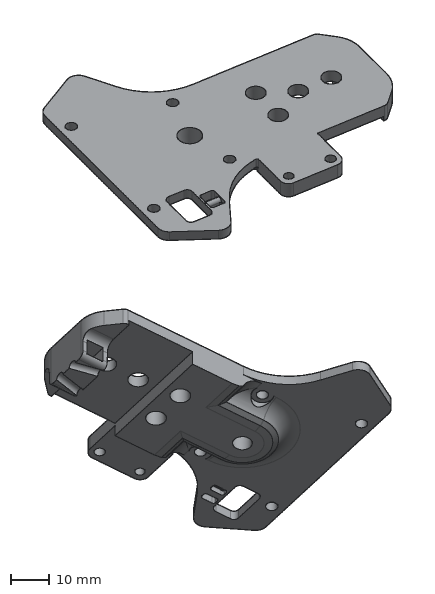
import cadquery as cq
import math

plate_thickness = 3.0
length = 84.7
height = 13.0

half_width = 37.2
front_half_width = 29.3
wing_angle = 30.0
wing_corner_radius = 3.5
neck_half_width = 17.3
neck_chamfer = 6.8
nose_radius = 9.3
shoulder_radius = 1.9
waist_radius = 20.3

tab_right = 31.0
tab_front = 37.4
tab_rear = 56.2
tab_thickness = 4.5
tab_corner_radius = 2.5
tab_root_radius = 0.5

neck_thickness = 3.6
nose_front = 76.8
nose_thickness = 5.1

boss_bottom = 8.05
boss_y = 27.5
boss_neck_y = 49.1
flare_reach = 15.15
flare_radius = 6.1
flare_end_depth = 6.9
bevel_reach = 8.0
bevel_depth = 7.7
foot_reach = 5.7

hanger_half_width = 7.5
hanger_root_radius = 2.8
hanger_corner_radius = 1.9
channel_front = 78.2
channel_rear = 83.3
channel_top = 6.95
channel_bottom = 11.7
channel_crown = 9.4
groove_diameter = 2.7
groove_x_front = 4.65
groove_x_rear = 2.8

large_hole_diameter = 5.4
large_hole_points = [(0, 71.6), (0, 61.3), (-5.4, 51.6), (5.4, 51.6)]
screw_hole_diameter = 3.2
rear_screw_points = [(-13.8, 31.1), (13.8, 31.1)]
front_screw_points = [(-20.0, 3.5), (20.0, 3.5)]
screw_head_diameter = 6.0
tab_hole_x = 27.9
tab_front_hole = (40.4, 2.7)
tab_rear_hole = (53.4, 3.0)
bore_top_diameter = 6.7
bore_bottom_diameter = 5.2

window_size = (12.2, 7.8)
window_center = (24.1, 11.8)
window_radius = 1.5
slot_size = (6.1, 4.4)
slot_center = (25.1, 18.5)
slot_radius = 0.7
slot_bar_width = 1.9
slot_bar_top = 0.4


def box(x_min, x_max, y_min, y_max, z_min, z_max):
    size = (x_max - x_min, y_max - y_min, z_max - z_min)
    return cq.Workplane("XY").box(*size, centered=False).translate((x_min, y_min, z_min))


def round_corner(body, x, y, radius):
    """Round the full-height vertical edge that stands at (x, y)."""
    reach = 0.1
    selector = cq.selectors.BoxSelector((x - reach, y - reach, -2 * height), (x + reach, y + reach, height))
    return body.edges("|Z").edges(selector).fillet(radius)


def outline_slab(depth):
    """The symmetric plate outline, without the side tab, extruded down from z = 0."""
    slope = math.radians(wing_angle)
    tip_setback = wing_corner_radius * (math.cos(slope) + math.sin(slope) - 1)
    tip_x = half_width + tip_setback
    tip_y = (tip_x - front_half_width) / math.tan(slope)
    waist_y = tip_y + (tip_x - neck_half_width) * math.tan(slope)
    shoulder_y = length - neck_chamfer
    corners = [
        (front_half_width, 0, wing_corner_radius),
        (tip_x, tip_y, wing_corner_radius),
        (neck_half_width, waist_y, waist_radius),
        (neck_half_width, shoulder_y, shoulder_radius),
        (neck_half_width - neck_chamfer, length, nose_radius),
    ]
    right_side = [(x, y) for x, y, _ in corners]
    left_side = [(-x, y) for x, y in reversed(right_side)]
    slab = cq.Workplane("XY").polyline(right_side + left_side).close().extrude(-depth)
    for x, y, radius in corners:
        for side in (-1, 1):
            slab = round_corner(slab, side * x, y, radius)
    return slab


def side_tab(depth):
    tab = box(neck_half_width, tab_right, tab_front, tab_rear, -depth, 0)
    for y in (tab_front, tab_rear):
        tab = round_corner(tab, tab_right, y, tab_corner_radius)
    return tab


def plate_with_tab():
    """The flat plate, with a small fillet where the tab's front edge meets the waist arc."""
    plate = outline_slab(plate_thickness).union(side_tab(plate_thickness))
    root = cq.selectors.NearestToPointSelector((neck_half_width, tab_front, -plate_thickness / 2))
    return plate.edges("|Z").edges(root).fillet(tab_root_radius)


def flare_profile(plane, side):
    """Half section of the boss: concave flare, then two shallow bevels down to the flat foot."""
    sweep = math.acos(1 - (flare_end_depth - plate_thickness) / flare_radius)

    def flare_point(angle):
        reach = flare_reach - flare_radius * math.sin(angle)
        depth = plate_thickness + flare_radius * (1 - math.cos(angle))
        return (side * reach, -depth)

    return (
        cq.Workplane(plane)
        .moveTo(0, 0)
        .lineTo(side * flare_reach, 0)
        .lineTo(side * flare_reach, -plate_thickness)
        .threePointArc(flare_point(sweep / 2), flare_point(sweep))
        .lineTo(side * bevel_reach, -bevel_depth)
        .lineTo(side * foot_reach, -boss_bottom)
        .lineTo(0, -boss_bottom)
        .close()
    )


def flared_boss():
    round_end = flare_profile("XZ", 1).revolve(360, (0, 0), (0, 1)).translate((0, boss_y, 0))
    boss = round_end
    for side in (-1, 1):
        straight = flare_profile("XZ", side).extrude(boss_y - boss_neck_y)
        boss = boss.union(straight.translate((0, boss_y, 0)))
    wide_part = flare_profile("YZ", -1).extrude(neck_half_width, both=True).translate((0, boss_neck_y, 0))
    rear_part = box(-neck_half_width, neck_half_width, boss_neck_y, tab_rear, -boss_bottom, 0)
    boss = boss.union(wide_part).union(rear_part)
    for x, y in rear_screw_points:
        head_room = cq.Workplane("XY", origin=(x, y, -boss_bottom)).circle(screw_head_diameter / 2)
        boss = boss.cut(head_room.extrude(boss_bottom - plate_thickness))
    return boss


def strap_channel():
    """Passage along X through the hanger, with a floor that arches up to a crown in the middle."""
    rise = channel_bottom - channel_crown
    arch_radius = (hanger_half_width ** 2 + rise ** 2) / (2 * rise)
    width = channel_rear - channel_front
    passage = box(-neck_half_width, neck_half_width, channel_front, channel_rear, -channel_bottom, -channel_top)
    arch = (
        cq.Workplane("XZ", origin=(0, channel_rear, -channel_crown - arch_radius))
        .circle(arch_radius)
        .extrude(width)
    )
    return passage.cut(arch)


def cord_groove(side):
    """Half-round groove in the hanger's bottom face; the two grooves converge toward the rear."""
    run = cq.Vector(side * (groove_x_rear - groove_x_front), length - nose_front, 0)
    start = cq.Vector(side * groove_x_front, nose_front, -height)
    overrun = 0.2
    return cq.Workplane(
        cq.Solid.makeCylinder(groove_diameter / 2, run.Length * (1 + 2 * overrun), start - run * overrun, run)
    )


def nose_and_hanger():
    root_x = hanger_half_width + hanger_root_radius
    root_z = -nose_thickness - hanger_root_radius
    bend = 1 - math.sqrt(0.5)
    bend_x = hanger_half_width + hanger_root_radius * bend
    bend_z = -nose_thickness - hanger_root_radius * bend
    profile = (
        cq.Workplane("XZ", origin=(0, length, 0))
        .moveTo(-neck_half_width, 0)
        .lineTo(neck_half_width, 0)
        .lineTo(neck_half_width, -nose_thickness)
        .lineTo(root_x, -nose_thickness)
        .threePointArc((bend_x, bend_z), (hanger_half_width, root_z))
        .lineTo(hanger_half_width, -height)
        .lineTo(-hanger_half_width, -height)
        .lineTo(-hanger_half_width, root_z)
        .threePointArc((-bend_x, bend_z), (-root_x, -nose_thickness))
        .lineTo(-neck_half_width, -nose_thickness)
        .close()
    )
    body = profile.extrude(length - nose_front)
    body = body.faces("<Z").edges("|Y").fillet(hanger_corner_radius)
    body = body.intersect(outline_slab(height)).cut(strap_channel())
    for side in (-1, 1):
        body = body.cut(cord_groove(side))
    return body


def through_holes(points, diameter):
    return cq.Workplane("XY").pushPoints(points).circle(diameter / 2).extrude(-height)


def tapered_bore():
    return (
        cq.Workplane("XY", origin=(0, boss_y, 0))
        .circle(bore_top_diameter / 2)
        .workplane(offset=-boss_bottom)
        .circle(bore_bottom_diameter / 2)
        .loft()
    )


def rounded_opening(center, size, radius):
    opening = cq.Workplane("XY").rect(*size).extrude(-plate_thickness)
    return opening.edges("|Z").fillet(radius).translate((*center, 0))


def strap_slot():
    """Two rounded openings with a round-topped bar left between them, sunk below the top face."""
    x, y = slot_center
    width, bar_length = slot_size
    bar_radius = slot_bar_width / 2
    spring_z = -slot_bar_top - bar_radius
    opening_width = (width - slot_bar_width) / 2
    opening_offset = (opening_width + slot_bar_width) / 2
    half_clearance = bar_radius + slot_radius
    y_min = y - bar_length / 2
    y_max = y + bar_length / 2
    bar_crown = cq.Workplane("XZ", origin=(x, y_max, spring_z)).circle(bar_radius).extrude(bar_length)
    slot = box(x - half_clearance, x + half_clearance, y_min, y_max, spring_z, 0).cut(bar_crown)
    for side in (-1, 1):
        center = (x + side * opening_offset, y)
        slot = slot.union(rounded_opening(center, (opening_width, bar_length), slot_radius))
    return slot


plate = plate_with_tab().union(side_tab(tab_thickness))
neck_pad = box(-neck_half_width, neck_half_width, boss_neck_y, nose_front, -neck_thickness, 0)
result = plate.union(neck_pad).union(flared_boss()).union(nose_and_hanger())

result = result.cut(through_holes(large_hole_points, large_hole_diameter))
result = result.cut(through_holes(rear_screw_points + front_screw_points, screw_hole_diameter))
for y, diameter in (tab_front_hole, tab_rear_hole):
    result = result.cut(through_holes([(tab_hole_x, y)], diameter))
result = result.cut(tapered_bore())
result = result.cut(rounded_opening(window_center, window_size, window_radius))
result = result.cut(strap_slot())